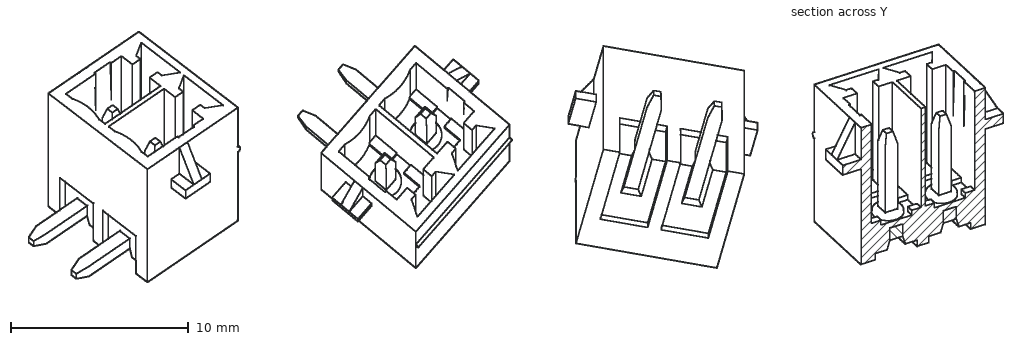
import cadquery as cq

WIDTH = 8.13
DEPTH = 7.01
HEIGHT = 9.2

PITCH = 3.5
PIN_XS = (-PITCH / 2, PITCH / 2)
PIN_Y = 2.78
PIN_Z = 1.4

PIN_SIDE = 0.82
PIN_REACH = 3.51
PIN_TOP = 7.7
TIP_SIDE = 0.42
TIP_LENGTH = 0.78
PIN_BACK = PIN_Y + PIN_SIDE / 2
PIN_BOTTOM = PIN_Z - PIN_SIDE / 2

CAVITY_WIDTH = 3.21
CAVITY_FRONT = 0.7
CAVITY_BACK = 4.99
CAVITY_FLOOR = 2.57
BULGE_WIDTH = 2.18
BULGE_HEIGHT = 0.2

NECK_WIDTH = 1.4
NECK_BACK = 5.61
DOVETAIL_NARROW = 2.11
DOVETAIL_WIDE = CAVITY_WIDTH
DOVETAIL_BACK = 6.52

RECESS_DEPTH = 0.32
RECESS_FLOOR = CAVITY_FLOOR - RECESS_DEPTH
RECESS_WIDTH = 1.99
RECESS_BACK = 4.48
CROSS_ARM = 1.03
BOSS_DIAMETER = 1.8
BOSS_HEIGHT = 0.32
BOSS_ROUND = 0.2

GROOVE_DEPTH = 0.1
GROOVE_WIDTH = 1.21
GROOVE_FRONT = 3.0
GROOVE_END = 6.21

POCKET_WIDTH = 2.73
POCKET_HEIGHT = 3.05
POCKET_DEPTH = 0.43
RELIEF_HEIGHT = 0.42
RELIEF_BACK = CAVITY_BACK
LEAD_IN_WIDTH = 1.18

LATCH_SPAN = 10.5
LATCH_REACH = (LATCH_SPAN - WIDTH) / 2
LATCH_WIDTH = 1.9
LATCH_BOTTOM = 6.4
LATCH_TOP = 7.07
LATCH_RIB = 0.62

BEAD_RADIUS = 0.2
BEAD_REACH = 0.18
BEAD_Z = 5.78


def block(x_size, y_from, y_to, z_from, z_to, x_centre=0.0):
    """Box centred on x_centre and spanning the given Y and Z ranges."""
    return (
        cq.Workplane("XY")
        .box(x_size, y_to - y_from, z_to - z_from, centered=(True, False, False))
        .translate((x_centre, y_from, z_from))
    )


def cavity(x):
    """Plug cavity with its bulged front wall and the dovetail keyway behind it."""
    half = CAVITY_WIDTH / 2
    bulge = BULGE_WIDTH / 2
    neck = NECK_WIDTH / 2
    narrow = DOVETAIL_NARROW / 2
    wide = DOVETAIL_WIDE / 2
    return (
        cq.Workplane("XY", origin=(x, 0, CAVITY_FLOOR))
        .moveTo(-half, CAVITY_FRONT)
        .lineTo(-bulge, CAVITY_FRONT)
        .threePointArc((0, CAVITY_FRONT + BULGE_HEIGHT), (bulge, CAVITY_FRONT))
        .lineTo(half, CAVITY_FRONT)
        .lineTo(half, CAVITY_BACK)
        .lineTo(neck, CAVITY_BACK)
        .lineTo(neck, NECK_BACK)
        .lineTo(narrow, NECK_BACK)
        .lineTo(wide, DOVETAIL_BACK)
        .lineTo(-wide, DOVETAIL_BACK)
        .lineTo(-narrow, NECK_BACK)
        .lineTo(-neck, NECK_BACK)
        .lineTo(-neck, CAVITY_BACK)
        .lineTo(-half, CAVITY_BACK)
        .close()
        .extrude(HEIGHT - CAVITY_FLOOR)
    )


def floor_recess(x):
    """Cross-shaped recess in the cavity floor, following the bulged front wall."""
    long_arm = block(RECESS_WIDTH, CAVITY_FRONT, RECESS_BACK, RECESS_FLOOR, CAVITY_FLOOR, x)
    arm_front = PIN_Y - CROSS_ARM / 2
    arm_back = PIN_Y + CROSS_ARM / 2
    cross_arm = block(CAVITY_WIDTH, arm_front, arm_back, RECESS_FLOOR, CAVITY_FLOOR, x)
    within_walls = cavity(x).translate((0, 0, -RECESS_DEPTH))
    return long_arm.union(cross_arm).intersect(within_walls)


def boss(x):
    """Rounded boss standing on the recess floor around the pin."""
    return (
        cq.Workplane("XY", origin=(x, PIN_Y, RECESS_FLOOR))
        .circle(BOSS_DIAMETER / 2)
        .extrude(BOSS_HEIGHT)
        .faces(">Z")
        .edges()
        .fillet(BOSS_ROUND)
    )


def wall_groove(side):
    """Groove in the outer wall of the cavity on the given side (-1 or 1), tapering to nothing."""
    wall = side * (PIN_XS[1] + CAVITY_WIDTH / 2)
    return (
        cq.Workplane("XZ", origin=(0, GROOVE_FRONT, 0))
        .moveTo(wall, GROOVE_END)
        .lineTo(wall, HEIGHT)
        .lineTo(wall + side * GROOVE_DEPTH, HEIGHT)
        .close()
        .extrude(-GROOVE_WIDTH)
    )


def underside_channel(x):
    """Shallow relief and the tapered lead-in through which the pin is inserted."""
    relief = block(POCKET_WIDTH, POCKET_DEPTH, RELIEF_BACK, 0, RELIEF_HEIGHT, x)
    lead_in = (
        cq.Workplane("XZ", origin=(x, POCKET_DEPTH, 0))
        .moveTo(-LEAD_IN_WIDTH / 2, RELIEF_HEIGHT)
        .lineTo(LEAD_IN_WIDTH / 2, RELIEF_HEIGHT)
        .lineTo(PIN_SIDE / 2, PIN_BOTTOM)
        .lineTo(-PIN_SIDE / 2, PIN_BOTTOM)
        .close()
        .extrude(-(PIN_BACK - POCKET_DEPTH))
    )
    return relief.union(lead_in)


def latch(side):
    """Slab and sloping rib on the given side (-1 or 1)."""
    wall = side * WIDTH / 2
    tip = wall + side * LATCH_REACH
    slab = block(
        LATCH_REACH,
        PIN_Y - LATCH_WIDTH / 2,
        PIN_Y + LATCH_WIDTH / 2,
        LATCH_BOTTOM,
        LATCH_TOP,
        (wall + tip) / 2,
    )
    rib = (
        cq.Workplane("XZ", origin=(0, PIN_Y, 0))
        .moveTo(wall, LATCH_TOP)
        .lineTo(tip, LATCH_TOP)
        .lineTo(wall, HEIGHT)
        .close()
        .extrude(LATCH_RIB / 2, both=True)
    )
    return slab.union(rib)


def back_bead():
    """Round bead along the full width of the back face."""
    return (
        cq.Workplane("YZ", origin=(0, DEPTH + BEAD_REACH - BEAD_RADIUS, BEAD_Z))
        .circle(BEAD_RADIUS)
        .extrude(WIDTH / 2, both=True)
    )


def tapered_tip():
    """Pyramid-shaped pin end, growing along +Z from a full-size base at the origin."""
    return (
        cq.Workplane("XY")
        .rect(PIN_SIDE, PIN_SIDE)
        .workplane(offset=TIP_LENGTH)
        .rect(TIP_SIDE, TIP_SIDE)
        .loft(combine=True)
    )


def make_pin(x):
    """Right-angled pin: upright contact and horizontal solder leg, both with tapered ends."""
    shoulder_z = PIN_TOP - TIP_LENGTH
    shoulder_y = -PIN_REACH + TIP_LENGTH
    upright = block(PIN_SIDE, PIN_Y - PIN_SIDE / 2, PIN_BACK, PIN_BOTTOM, shoulder_z)
    leg = block(PIN_SIDE, shoulder_y, PIN_BACK, PIN_BOTTOM, PIN_BOTTOM + PIN_SIDE)
    upper_tip = tapered_tip().translate((0, PIN_Y, shoulder_z))
    leg_tip = tapered_tip().rotate((0, 0, 0), (1, 0, 0), 90).translate((0, shoulder_y, PIN_Z))
    return upright.union(leg).union(upper_tip).union(leg_tip).translate((x, 0, 0))


def make_housing(pins):
    """Housing with its cavities, pockets, latches and bead, fitted around the pins."""
    housing = block(WIDTH, 0, DEPTH, 0, HEIGHT).union(back_bead())
    for side in (-1, 1):
        housing = housing.union(latch(side)).cut(wall_groove(side))
    for x, pin in zip(PIN_XS, pins):
        housing = housing.cut(cavity(x)).cut(floor_recess(x)).union(boss(x))
        housing = housing.cut(block(POCKET_WIDTH, 0, POCKET_DEPTH, 0, POCKET_HEIGHT, x))
        housing = housing.cut(underside_channel(x)).cut(pin)
    return housing


pins = [make_pin(x) for x in PIN_XS]
housing = make_housing(pins)

result = cq.Compound.makeCompound([housing.val(), *[pin.val() for pin in pins]])